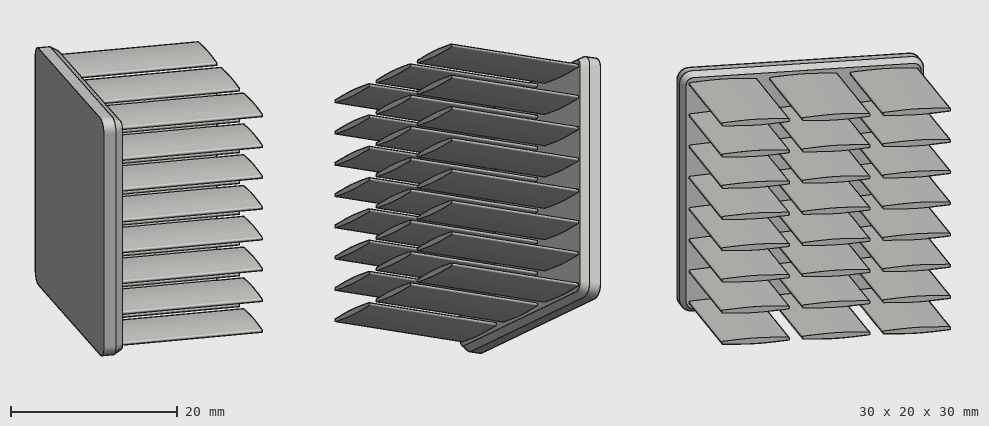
import cadquery as cq
import math

base_side = 30.0
total_depth = 20.0

base_thickness = 2.5
corner_radius = 1.5
chamfer_depth = 1.0
chamfer_angle = 30.0

fin_columns = 3
fin_rows = 8
column_pitch = 9.9
row_pitch = 3.9

fin_root = base_thickness / 2

fin_width = 8.35
tip_radius = 0.195
crown_half_width = 1.92
flat_slope = math.radians(3.3)


def make_base():
    """Square plate with rounded corners, tapering inward next to the fins."""
    straight_depth = base_thickness - chamfer_depth
    outline = cq.Sketch().rect(base_side, base_side).vertices().fillet(corner_radius)
    straight = cq.Workplane("XZ").placeSketch(outline).extrude(-straight_depth)
    tapered = (
        cq.Workplane("XZ", origin=(0, straight_depth, 0))
        .placeSketch(outline)
        .extrude(-chamfer_depth, taper=chamfer_angle)
    )
    return straight.union(tapered)


def make_fin():
    """One fin at the origin; its flats are tangent to both the crown and the tips."""
    half_width = fin_width / 2
    crown_radius = crown_half_width / math.sin(flat_slope)
    tip_x = half_width - tip_radius + tip_radius * math.sin(flat_slope)
    tip_z = tip_radius * math.cos(flat_slope)
    crown_z = tip_z + (tip_x - crown_half_width) * math.tan(flat_slope)
    peak_z = crown_z + crown_radius * (1 - math.cos(flat_slope))

    section = (
        cq.Workplane("XZ", origin=(0, fin_root, 0))
        .moveTo(-tip_x, tip_z)
        .lineTo(-crown_half_width, crown_z)
        .threePointArc((0, peak_z), (crown_half_width, crown_z))
        .lineTo(tip_x, tip_z)
        .threePointArc((half_width, 0), (tip_x, -tip_z))
        .lineTo(crown_half_width, -crown_z)
        .threePointArc((0, -peak_z), (-crown_half_width, -crown_z))
        .lineTo(-tip_x, -tip_z)
        .threePointArc((-half_width, 0), (-tip_x, tip_z))
        .close()
    )
    return section.extrude(fin_root - total_depth)


def make_heat_sink():
    """Base plate joined to a centered grid of identical fins."""
    body = make_base()
    fin = make_fin()
    for column in range(fin_columns):
        x = (column - (fin_columns - 1) / 2) * column_pitch
        for row in range(fin_rows):
            z = (row - (fin_rows - 1) / 2) * row_pitch
            body = body.union(fin.translate((x, 0, z)))
    return body


result = make_heat_sink()